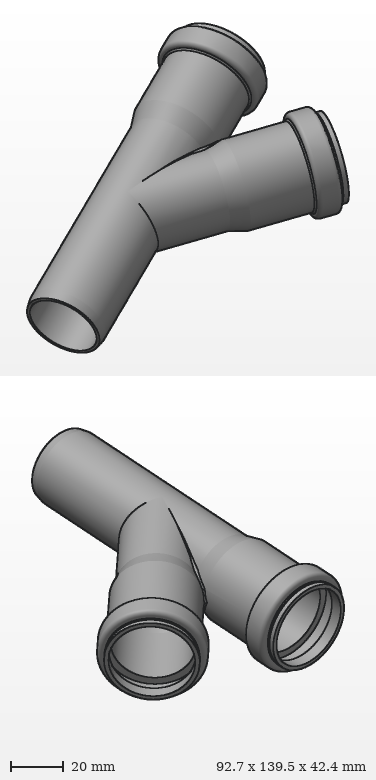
import cadquery as cq

total_length = 139.5
branch_angle = 45.0
junction_y = 56.6
branch_length = total_length - junction_y

pipe_radius = 32.2 / 2
bore_radius = 28.2 / 2
spigot_tip_radius = 15.3
spigot_taper_length = 3.8

socket_radius = 36.3 / 2
lip_radius = 36.5 / 2
bead_radius = 42.4 / 2
socket_bore_radius = 32.6 / 2
mouth_radius = 33.0 / 2
groove_radius = 38.8 / 2

lip_length = 2.2
bead_front = 3.2
bead_back = 13.3
bead_round = 1.8
neck_end = 14.0
socket_length = 39.6
cone_end = 47.2
wall = socket_radius - socket_bore_radius
neck_flare = neck_end - bead_back

half_angle = branch_angle / 2
fill_width = 4.2
fill_start = (16.7, 14.8)
fill_middle = (27.9, 12.3)
fill_cone = (39.0, 7.7)
fill_socket = (46.7, 5.0)
fill_tip = (48.8, 0.0)


def revolve_about_y(points):
    """Solid of revolution about Y from (radius, y) points."""
    return cq.Workplane("XY").polyline(points).close().revolve(360, (0, 0, 0), (0, 1, 0))


def pipe_outside(start, end):
    """Outer body of a pipe from start to the socket mouth at end."""
    body = revolve_about_y([
        (0, start),
        (pipe_radius, start),
        (pipe_radius, end - cone_end),
        (socket_radius, end - socket_length),
        (socket_radius, end - lip_length),
        (lip_radius, end - lip_length),
        (lip_radius, end),
        (0, end),
    ])
    bead = (
        cq.Workplane("XZ", origin=(0, end - bead_front, 0))
        .circle(bead_radius)
        .extrude(bead_back - bead_front)
        .edges()
        .fillet(bead_round)
    )
    neck = revolve_about_y([
        (0, end - neck_end),
        (socket_radius, end - neck_end),
        (socket_radius + neck_flare, end - bead_back),
        (0, end - bead_back),
    ])
    return body.union(bead).union(neck)


def pipe_inside(start, end):
    """Bore, socket and seal groove of a pipe, open at the socket mouth."""
    return revolve_about_y([
        (0, start),
        (bore_radius, start),
        (bore_radius, end - cone_end),
        (socket_bore_radius, end - socket_length),
        (socket_bore_radius, end - bead_back + wall),
        (groove_radius, end - bead_back + wall),
        (groove_radius, end - bead_front - wall),
        (mouth_radius, end - bead_front - wall),
        (mouth_radius, end),
        (0, end),
    ])


def place_branch(shape):
    """Turn a pipe along Y into the branch direction and move it to the junction."""
    return shape.rotate((0, 0, 0), (0, 0, 1), -branch_angle).translate((0, junction_y, 0))


def crotch_fill():
    """Web on the mitre plane, just proud of the seam between run and branch."""
    upper_half = (
        cq.Workplane("YZ")
        .moveTo(fill_start[0], 0)
        .lineTo(*fill_start)
        .threePointArc(fill_middle, fill_cone)
        .lineTo(*fill_socket)
        .lineTo(*fill_tip)
        .close()
        .extrude(fill_width / 2, both=True)
    )
    web = upper_half.union(upper_half.mirror("XY"))
    return web.rotate((0, 0, 0), (0, 0, 1), -half_angle).translate((0, junction_y, 0))


def spigot_trim():
    """Ring that tapers the plain end of the run."""
    return revolve_about_y([
        (spigot_tip_radius, 0),
        (bead_radius, 0),
        (bead_radius, spigot_taper_length),
        (pipe_radius, spigot_taper_length),
    ])


run = pipe_outside(0, total_length).cut(spigot_trim())
branch = place_branch(pipe_outside(0, branch_length))
run_bore = pipe_inside(0, total_length)
branch_bore = place_branch(pipe_inside(0, branch_length))

outside = run.union(branch).union(crotch_fill())
result = outside.cut(run_bore).cut(branch_bore)